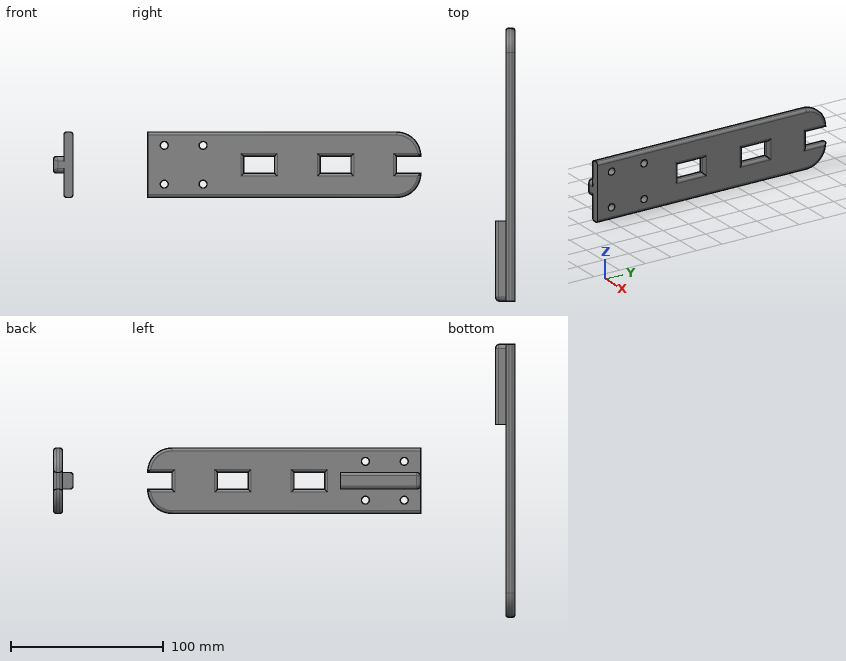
import cadquery as cq

length = 178.8
height = 43.0
plate_thickness = 6.0
edge_radius = 2.0

slot_width = 11.0
slot_half = slot_width / 2
corner_radius = height / 2 - slot_half
slot_floor_y = length - corner_radius

window_length = 20.0
window_height = slot_width
first_window_y = 73.0
window_pitch = 50.0

hole_diameter = 5.0
hole_end_distance = 10.9
hole_pitch = 25.4

rib_length = 52.8
rib_width = 10.9
rib_height = 6.8
rib_end_radius = 3.0


def make_plate():
    """Plate with slot and windows, rounded on both faces except at the square -Y end."""
    half = height / 2
    arc_mid = corner_radius * 0.5**0.5
    plate = (
        cq.Workplane("YZ")
        .moveTo(0, -half)
        .lineTo(slot_floor_y, -half)
        .threePointArc((slot_floor_y + arc_mid, -slot_half - arc_mid), (length, -slot_half))
        .lineTo(slot_floor_y, -slot_half)
        .lineTo(slot_floor_y, slot_half)
        .lineTo(length, slot_half)
        .threePointArc((slot_floor_y + arc_mid, slot_half + arc_mid), (slot_floor_y, half))
        .lineTo(0, half)
        .close()
        .extrude(plate_thickness)
    )
    windows = (
        cq.Workplane("YZ")
        .pushPoints([(first_window_y + i * window_pitch, 0) for i in range(2)])
        .rect(window_length, window_height)
        .extrude(plate_thickness)
    )
    plate = plate.cut(windows)
    return plate.faces("<X or >X").edges("not <Y").fillet(edge_radius)


def make_rib():
    """Rib with a generously rounded -Y end and rounded long edges."""
    rib = cq.Workplane("XY").box(
        rib_height, rib_length, rib_width, centered=(False, False, True)
    )
    rib = rib.translate((-rib_height, 0, 0))
    rib = rib.faces("<Y").edges("|X or <X").fillet(rib_end_radius)
    return rib.faces("<X").edges("|Y").fillet(edge_radius)


def make_holes():
    """Square pattern of through holes around the rib."""
    hole_centers = [
        (hole_end_distance + i * hole_pitch, side * hole_pitch / 2)
        for i in range(2)
        for side in (-1, 1)
    ]
    return (
        cq.Workplane("YZ")
        .pushPoints(hole_centers)
        .circle(hole_diameter / 2)
        .extrude(plate_thickness)
    )


result = make_plate().union(make_rib()).cut(make_holes())